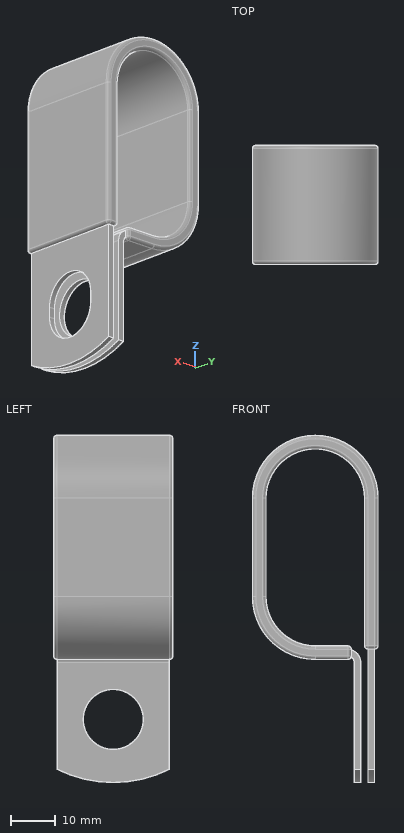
import cadquery as cq
import math

overall_height = 78.49
strip_thickness = 1.524
strip_width = 25.4
cushion_cover = 0.79375

bundle_width = 22.225
loop_straight = bundle_width
inner_radius = bundle_width / 2
cushion_thickness = strip_thickness + 2 * cushion_cover
cushion_width = strip_width + 2 * cushion_cover
outer_radius = inner_radius + cushion_thickness
lower_center_z = -loop_straight
loop_bottom_z = lower_center_z - outer_radius
loop_floor_z = lower_center_z - inner_radius
cushion_end_x = 8.15
cushion_end_z = -34.1

tab_bottom_z = outer_radius - overall_height
tab_tip_rise = 3.0
tab_gap = 2 * cushion_cover
closing_tab_outer_x = outer_radius - cushion_cover
closing_tab_inner_x = closing_tab_outer_x - strip_thickness
bent_tab_outer_x = closing_tab_inner_x - tab_gap
bent_tab_inner_x = bent_tab_outer_x - strip_thickness
tab_embed = 2 * cushion_cover
bend_inner_radius = strip_thickness
bend_outer_radius = bend_inner_radius + strip_thickness
bend_center_x = bent_tab_inner_x - bend_inner_radius
bend_center_z = loop_bottom_z + cushion_cover - bend_inner_radius

hole_diameter = 13.494
slot_length = 15.875
hole_to_tip = 14.2875
hole_center_z = tab_bottom_z + hole_to_tip


def extrude_centered(outline, width):
    """Extrude a closed XZ outline symmetrically about the plane Y = 0."""
    return outline.extrude(width / 2, both=True)


def make_cushion():
    """Loop open at its lower right corner, with every outside edge rounded."""
    diagonal = math.sqrt(0.5)
    outline = (
        cq.Workplane("XZ")
        .moveTo(outer_radius, cushion_end_z)
        .lineTo(outer_radius, 0)
        .threePointArc((0, outer_radius), (-outer_radius, 0))
        .lineTo(-outer_radius, lower_center_z)
        .threePointArc(
            (-outer_radius * diagonal, lower_center_z - outer_radius * diagonal),
            (0, loop_bottom_z),
        )
        .lineTo(cushion_end_x, loop_bottom_z)
        .lineTo(cushion_end_x, loop_floor_z)
        .lineTo(0, loop_floor_z)
        .threePointArc(
            (-inner_radius * diagonal, lower_center_z - inner_radius * diagonal),
            (-inner_radius, lower_center_z),
        )
        .lineTo(-inner_radius, 0)
        .threePointArc((0, inner_radius), (inner_radius, 0))
        .lineTo(inner_radius, cushion_end_z)
        .close()
    )
    cushion = extrude_centered(outline, cushion_width)
    end_corners = [
        (x, 0, z)
        for x, z in (
            (outer_radius, cushion_end_z),
            (inner_radius, cushion_end_z),
            (cushion_end_x, loop_bottom_z),
            (cushion_end_x, loop_floor_z),
        )
    ]
    edges = cushion.faces("<Y or >Y").edges()
    for corner in end_corners:
        edges = edges.add(cushion.edges(cq.selectors.NearestToPointSelector(corner)))
    return edges.fillet(cushion_cover)


def make_closing_tab():
    """Straight tab hanging from the right leg of the loop."""
    outline = (
        cq.Workplane("XZ")
        .moveTo(closing_tab_inner_x, tab_bottom_z)
        .lineTo(closing_tab_outer_x, tab_bottom_z)
        .lineTo(closing_tab_outer_x, cushion_end_z + tab_embed)
        .lineTo(closing_tab_inner_x, cushion_end_z + tab_embed)
        .close()
    )
    return extrude_centered(outline, strip_width)


def make_bent_tab():
    """Tab that leaves the loop floor horizontally and bends down beside the closing tab."""
    start_x = cushion_end_x - tab_embed
    outline = (
        cq.Workplane("XZ")
        .moveTo(bent_tab_outer_x, tab_bottom_z)
        .lineTo(bent_tab_outer_x, bend_center_z)
        .radiusArc((bend_center_x, bend_center_z + bend_outer_radius), -bend_outer_radius)
        .lineTo(start_x, bend_center_z + bend_outer_radius)
        .lineTo(start_x, bend_center_z + bend_inner_radius)
        .lineTo(bend_center_x, bend_center_z + bend_inner_radius)
        .radiusArc((bent_tab_inner_x, bend_center_z), bend_inner_radius)
        .lineTo(bent_tab_inner_x, tab_bottom_z)
        .close()
    )
    return extrude_centered(outline, strip_width)


def make_tip_envelope():
    """Block around both tabs whose lower end is the rounded tab tip."""
    half_width = strip_width / 2
    corner_z = tab_bottom_z + tab_tip_rise
    return (
        cq.Workplane("YZ")
        .moveTo(-half_width, corner_z)
        .threePointArc((0, tab_bottom_z), (half_width, corner_z))
        .lineTo(half_width, 0)
        .lineTo(-half_width, 0)
        .close()
        .extrude(outer_radius)
    )


def make_bolt_hole():
    """Round cutter along X for the bent tab."""
    return (
        cq.Workplane("YZ")
        .center(0, hole_center_z)
        .circle(hole_diameter / 2)
        .extrude(outer_radius)
    )


def make_bolt_slot():
    """Upright slot cutter along X for the closing tab, as wide as the bolt hole."""
    return (
        cq.Workplane("YZ")
        .center(0, hole_center_z)
        .slot2D(slot_length, hole_diameter, angle=90)
        .extrude(outer_radius)
    )


closing_tab = make_closing_tab().cut(make_bolt_slot())
bent_tab = make_bent_tab().cut(make_bolt_hole())
tabs = closing_tab.union(bent_tab).intersect(make_tip_envelope())
result = make_cushion().union(tabs)